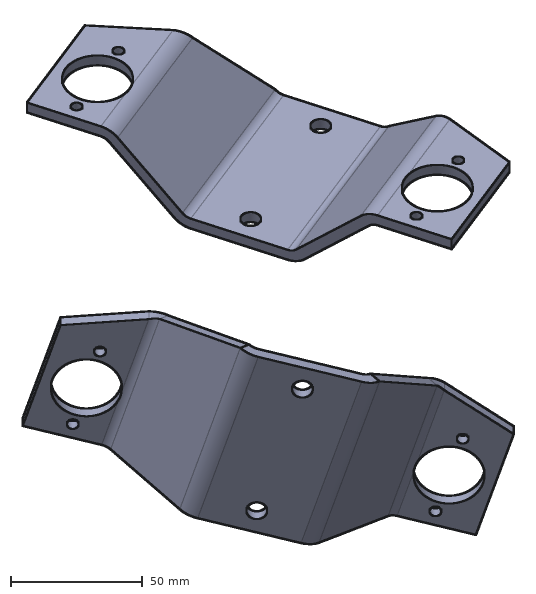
import cadquery as cq
import math

LENGTH = 180.0
WIDTH = 80.0
HEIGHT = 36.9
THICKNESS = 5.0

BEND_ANGLE = 45.0
INNER_RADIUS = 5.0
OUTER_RADIUS = INNER_RADIUS + THICKNESS
MID_RADIUS = INNER_RADIUS + THICKNESS / 2
SIN = math.sin(math.radians(BEND_ANGLE))
COS = math.cos(math.radians(BEND_ANGLE))
BEND_ARC = MID_RADIUS * math.radians(BEND_ANGLE)

BASE_HALF = 20.5
DROP = HEIGHT - THICKNESS
WEB = (DROP - 2 * MID_RADIUS * (1 - COS)) / SIN
RUN = 2 * MID_RADIUS * SIN + WEB * COS
FLANGE = LENGTH / 2 - BASE_HALF - RUN
FLANGE_BEND_X = -BASE_HALF - RUN

END_WIDTH = 50.0
TAPER_SLOPE = (WIDTH - END_WIDTH) / (FLANGE + BEND_ARC + WEB)
WIDTH_AT_BEND = END_WIDTH + TAPER_SLOPE * FLANGE
WIDTH_AT_WEB = WIDTH_AT_BEND + TAPER_SLOPE * BEND_ARC

PORT_DIAMETER = 27.0
PORT_FROM_END = 18.0
PORT_Y = 24.3
SCREW_DIAMETER = 4.5
SCREW_OFFSET = 18.0
BASE_HOLE_DIAMETER = 8.0
BASE_HOLE_EDGE_DISTANCE = 9.9


def tapered_panel(plane, length, start_width, end_width):
    """Flat panel whose outer face lies on the plane and whose rear edge slopes."""
    outline = [(0, 0), (length, 0), (length, end_width), (0, start_width)]
    return cq.Workplane(plane).polyline(outline).close().extrude(-THICKNESS)


def bend_sector(center_x, center_z, side):
    """Full-width 45 degree bend; side is 1 for the upper bend and -1 for the lower."""
    half_angle = math.radians(BEND_ANGLE / 2)

    def point(radius, angle):
        x = center_x + side * radius * math.sin(angle)
        z = center_z + side * radius * math.cos(angle)
        return (x, z)

    full_angle = 2 * half_angle
    return (
        cq.Workplane("XZ")
        .moveTo(*point(INNER_RADIUS, 0))
        .lineTo(*point(OUTER_RADIUS, 0))
        .threePointArc(point(OUTER_RADIUS, half_angle), point(OUTER_RADIUS, full_angle))
        .lineTo(*point(INNER_RADIUS, full_angle))
        .threePointArc(point(INNER_RADIUS, half_angle), point(INNER_RADIUS, 0))
        .close()
        .extrude(-WIDTH)
    )


def upper_bend():
    """Bend beside the flange, its rear edge trimmed along a helix to carry the taper round."""
    center_z = HEIGHT - OUTER_RADIUS
    pitch = 2 * math.pi * MID_RADIUS * TAPER_SLOPE
    trim_angle = 2 * BEND_ANGLE
    helix = cq.Wire.makeHelix(pitch, pitch * trim_angle / 360, MID_RADIUS)
    margin = 1.8
    trim = (
        cq.Workplane("XZ")
        .moveTo(INNER_RADIUS - margin, 0)
        .lineTo(OUTER_RADIUS + margin, 0)
        .lineTo(OUTER_RADIUS + margin, WIDTH)
        .lineTo(INNER_RADIUS - margin, WIDTH)
        .close()
        .sweep(cq.Workplane(obj=helix), isFrenet=True)
    )
    bend_axes = cq.Plane(
        origin=(FLANGE_BEND_X, WIDTH_AT_BEND, center_z), xDir=(0, 0, 1), normal=(0, 1, 0)
    )
    trim = trim.val().moved(cq.Location(bend_axes))
    return bend_sector(FLANGE_BEND_X, center_z, 1).cut(cq.Workplane(obj=trim))


def left_wing():
    flange_plane = cq.Plane(origin=(-LENGTH / 2, 0, HEIGHT), xDir=(1, 0, 0), normal=(0, 0, 1))
    web_start = (FLANGE_BEND_X + OUTER_RADIUS * SIN, 0, HEIGHT - OUTER_RADIUS * (1 - COS))
    web_plane = cq.Plane(origin=web_start, xDir=(COS, 0, -SIN), normal=(SIN, 0, COS))
    flange = tapered_panel(flange_plane, FLANGE, END_WIDTH, WIDTH_AT_BEND)
    web = tapered_panel(web_plane, WEB, WIDTH_AT_WEB, WIDTH)
    lower_bend = bend_sector(-BASE_HALF, OUTER_RADIUS, -1)
    return flange.union(upper_bend()).union(web).union(lower_bend)


def drill(diameter, centers):
    return cq.Workplane("XY").pushPoints(centers).circle(diameter / 2).extrude(HEIGHT)


base = cq.Workplane("XY").box(2 * BASE_HALF, WIDTH, THICKNESS, centered=(True, False, False))
wing = left_wing()
result = base.union(wing).union(wing.mirror("YZ"))

for side in (-1, 1):
    port_x = side * (LENGTH / 2 - PORT_FROM_END)
    screws = [(port_x, PORT_Y - SCREW_OFFSET), (port_x, PORT_Y + SCREW_OFFSET)]
    result = result.cut(drill(PORT_DIAMETER, [(port_x, PORT_Y)]))
    result = result.cut(drill(SCREW_DIAMETER, screws))

base_holes = [(0, BASE_HOLE_EDGE_DISTANCE), (0, WIDTH - BASE_HOLE_EDGE_DISTANCE)]
result = result.cut(drill(BASE_HOLE_DIAMETER, base_holes))
result = result.solids()